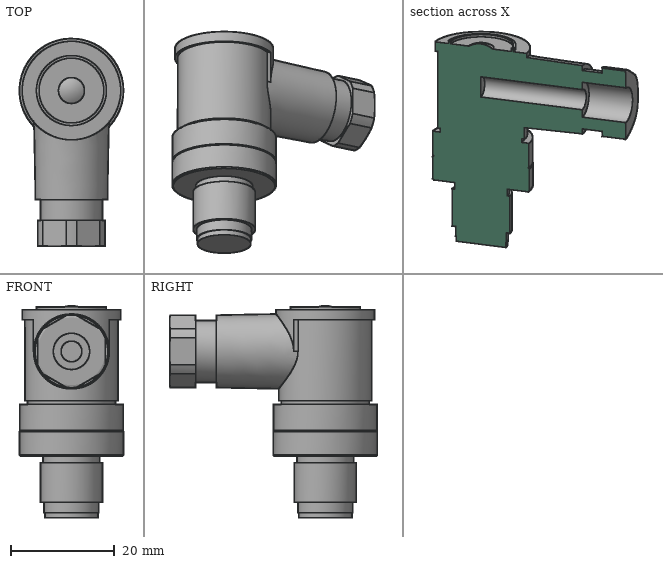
import cadquery as cq
import math


PLUG_TIP_RADIUS, PLUG_TIP_TOP = 5.15, 1.0
PLUG_STEP_RADIUS, PLUG_STEP_TOP = 5.3, 3.0
PLUG_RADIUS, PLUG_TOP = 6.0, 10.65
NECK_RADIUS, NECK_TOP = 5.5, 11.9
RING_RADIUS, RING_TOP = 10.05, 16.9
COLLAR_RADIUS, COLLAR_TOP = 10.0, 21.9
GROOVE_RADIUS, GROOVE_TOP = 8.5, 22.55
BODY_RADIUS, BODY_TOP = 9.0, 38.15
FLANGE_RADIUS, FLANGE_TOP = 9.5, 40.15
RING_CHAMFER = 0.25

RIM_OUTER_RADIUS = 6.75
RIM_INNER_RADIUS = 6.25
RIM_HEIGHT = 0.5
DOME_RADIUS = 2.5
OVERALL_HEIGHT = 40.9

ARM_HEIGHT = 32.1
ARM_END_RADIUS = 7.0
ARM_TAPER_DEG = 1.1
ARM_REACH = 21.0
GLAND_NECK_RADIUS = 6.0
NUT_START = 25.0
NUT_REACH = 30.0
NUT_SIDES = 6
NUT_ACROSS_FLATS = 13.0
NUT_CORNER_RADIUS = 7.0
NUT_CHAMFER_ANGLE_DEG = 15.0
CABLE_HOLE_RADIUS = 3.5
INNER_HOLE_RADIUS = 2.0

PAD_HALF_WIDTH = 7.32


def disc(radius, bottom, top):
    """Vertical cylinder on the body axis."""
    return cq.Workplane("XY").workplane(offset=bottom).circle(radius).extrude(top - bottom)


def arm_plane(reach):
    """Workplane square to the arm axis, facing outwards along -Y."""
    return cq.Workplane("XZ", origin=(0, -reach, ARM_HEIGHT))


def arm_disc(radius, start, end):
    """Cylinder on the arm axis between two distances from the body axis."""
    return arm_plane(start).circle(radius).extrude(end - start)


def make_stack():
    """Plug, union ring, collar, body and lid flange, one on top of the other."""
    stack = disc(PLUG_TIP_RADIUS, 0, PLUG_TIP_TOP)
    stack = stack.union(disc(PLUG_STEP_RADIUS, PLUG_TIP_TOP, PLUG_STEP_TOP))
    stack = stack.union(disc(PLUG_RADIUS, PLUG_STEP_TOP, PLUG_TOP))
    stack = stack.union(disc(NECK_RADIUS, PLUG_TOP, NECK_TOP))
    union_ring = disc(RING_RADIUS, NECK_TOP, RING_TOP).faces("<Z or >Z").chamfer(RING_CHAMFER)
    stack = stack.union(union_ring)
    stack = stack.union(disc(COLLAR_RADIUS, RING_TOP, COLLAR_TOP))
    stack = stack.union(disc(GROOVE_RADIUS, COLLAR_TOP, GROOVE_TOP))
    stack = stack.union(disc(BODY_RADIUS, GROOVE_TOP, BODY_TOP))
    return stack.union(disc(FLANGE_RADIUS, BODY_TOP, FLANGE_TOP))


def make_lid_rim():
    """Low circular rim standing on the lid."""
    rim = disc(RIM_OUTER_RADIUS, FLANGE_TOP, FLANGE_TOP + RIM_HEIGHT)
    return rim.cut(disc(RIM_INNER_RADIUS, FLANGE_TOP, FLANGE_TOP + RIM_HEIGHT))


def make_dome():
    """Spherical cap in the middle of the lid."""
    rise = OVERALL_HEIGHT - FLANGE_TOP
    sphere_radius = (DOME_RADIUS**2 + rise**2) / (2 * rise)
    sphere = cq.Workplane("XY").sphere(sphere_radius)
    sphere = sphere.translate((0, 0, OVERALL_HEIGHT - sphere_radius))
    return sphere.intersect(disc(DOME_RADIUS, FLANGE_TOP, OVERALL_HEIGHT))


def make_pad():
    """Flange-radius wall with flat sides, from the arm axis up to the lid flange."""
    height = BODY_TOP - ARM_HEIGHT
    block = cq.Workplane("XY").box(
        2 * PAD_HALF_WIDTH, FLANGE_RADIUS, height, centered=(True, False, False)
    )
    block = block.translate((0, -FLANGE_RADIUS, ARM_HEIGHT))
    return block.intersect(disc(FLANGE_RADIUS, ARM_HEIGHT, BODY_TOP))


def make_arm():
    """Arm narrowing from the body axis to its outer end, followed by the gland neck."""
    root_radius = ARM_END_RADIUS + ARM_REACH * math.tan(math.radians(ARM_TAPER_DEG))
    cone = cq.Solid.makeCone(
        root_radius,
        ARM_END_RADIUS,
        ARM_REACH,
        pnt=cq.Vector(0, 0, ARM_HEIGHT),
        dir=cq.Vector(0, -1, 0),
    )
    return cq.Workplane(cone).union(arm_disc(GLAND_NECK_RADIUS, ARM_REACH, NUT_START))


def make_nut():
    """Hexagonal gland nut with flats on +X and -X, rounded corners and a chamfered end."""
    length = NUT_REACH - NUT_START
    across_corners = NUT_ACROSS_FLATS / math.cos(math.pi / NUT_SIDES)
    half_side_turn = 180 / NUT_SIDES
    hexagon = arm_plane(NUT_START).transformed(rotate=(0, 0, half_side_turn))
    hexagon = hexagon.polygon(NUT_SIDES, across_corners).extrude(length)
    end_radius = NUT_ACROSS_FLATS / 2
    radial_chamfer = NUT_CORNER_RADIUS - end_radius
    axial_chamfer = radial_chamfer * math.tan(math.radians(NUT_CHAMFER_ANGLE_DEG))
    envelope = arm_disc(NUT_CORNER_RADIUS, NUT_START, NUT_REACH)
    envelope = envelope.faces("<Y").chamfer(axial_chamfer, radial_chamfer)
    return hexagon.intersect(envelope)


def cut_cable_hole(part):
    """Stepped hole: wide through the nut and gland neck, narrow on to the body axis."""
    part = part.cut(arm_disc(CABLE_HOLE_RADIUS, ARM_REACH, NUT_REACH))
    return part.cut(arm_disc(INNER_HOLE_RADIUS, 0, ARM_REACH))


connector = make_stack()
for feature in (make_lid_rim(), make_dome(), make_pad(), make_arm(), make_nut()):
    connector = connector.union(feature)
result = cut_cable_hole(connector)